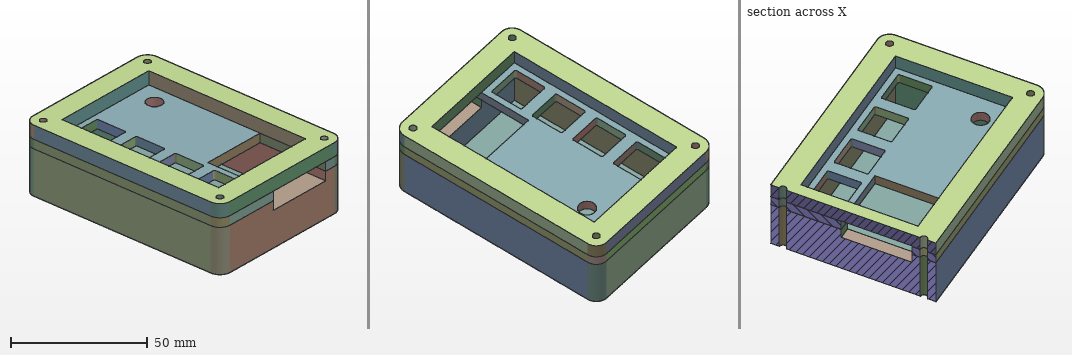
import cadquery as cq

LENGTH = 96.2
WIDTH = 68.0
HEIGHT = 30.0
CORNER_RADIUS = 5.0

FRAME_THICKNESS = 6.0
PLATE_THICKNESS = 4.0
PLATE_BOTTOM = HEIGHT - FRAME_THICKNESS - PLATE_THICKNESS
PLATE_TOP = PLATE_BOTTOM + PLATE_THICKNESS

SCREW_DIAMETER = 2.9
SCREW_SPACING_X = LENGTH - 2 * CORNER_RADIUS
SCREW_SPACING_Y = WIDTH - 2 * CORNER_RADIUS

WINDOW_LENGTH = 76.4
WINDOW_WIDTH = 48.2
FLOOR_THICKNESS = 3.8

KEY_COUNT = 4
KEY_PITCH = 19.0
KEY_SIZE = 14.0
KEY_CORNER_RADIUS = 0.6
KEY_ROW_Y = -14.5

ROUND_HOLE_DIAMETER = 6.9
ROUND_HOLE_X = -28.3
ROUND_HOLE_Y = 16.0

OPENING_LEFT = 16.1
OPENING_RIGHT = LENGTH / 2
OPENING_FRONT = -4.9
OPENING_BACK = WINDOW_WIDTH / 2
SILL_DROP = 4.0
OPENING_SILL = PLATE_BOTTOM - SILL_DROP


def layer(bottom, top):
    """Rounded rectangular slab with a through screw hole in each corner."""
    return (
        cq.Workplane("XY", origin=(0, 0, bottom))
        .rect(LENGTH, WIDTH)
        .extrude(top - bottom)
        .edges("|Z")
        .fillet(CORNER_RADIUS)
        .faces(">Z")
        .workplane()
        .rect(SCREW_SPACING_X, SCREW_SPACING_Y, forConstruction=True)
        .vertices()
        .hole(SCREW_DIAMETER)
    )


def window_block(bottom, top):
    """Cutter with the outline of the frame window."""
    return cq.Workplane("XY", origin=(0, 0, bottom)).rect(WINDOW_LENGTH, WINDOW_WIDTH).extrude(top - bottom)


def opening_block(bottom, top):
    """Cutter for the opening that runs out through the +X wall."""
    return (
        cq.Workplane("XY", origin=(0, 0, bottom))
        .moveTo(OPENING_LEFT, OPENING_FRONT)
        .lineTo(OPENING_RIGHT, OPENING_FRONT)
        .lineTo(OPENING_RIGHT, OPENING_BACK)
        .lineTo(OPENING_LEFT, OPENING_BACK)
        .close()
        .extrude(top - bottom)
    )


def key_block(x):
    """Cutter for one key hole, with rounded corners."""
    return (
        cq.Workplane("XY", origin=(x, KEY_ROW_Y, PLATE_BOTTOM))
        .rect(KEY_SIZE, KEY_SIZE)
        .extrude(PLATE_THICKNESS)
        .edges("|Z")
        .fillet(KEY_CORNER_RADIUS)
    )


def make_base():
    """Open-topped box whose +X wall is lowered at the side opening."""
    cavity = window_block(FLOOR_THICKNESS, PLATE_BOTTOM)
    recess = opening_block(OPENING_SILL, PLATE_BOTTOM)
    return layer(0, PLATE_BOTTOM).cut(cavity).cut(recess)


def make_plate():
    """Flat plate with the key holes, the round hole and the side notch."""
    plate = layer(PLATE_BOTTOM, PLATE_TOP).cut(opening_block(PLATE_BOTTOM, PLATE_TOP))
    for index in range(KEY_COUNT):
        plate = plate.cut(key_block((index - (KEY_COUNT - 1) / 2) * KEY_PITCH))
    round_hole = (
        cq.Workplane("XY", origin=(ROUND_HOLE_X, ROUND_HOLE_Y, PLATE_BOTTOM))
        .circle(ROUND_HOLE_DIAMETER / 2)
        .extrude(PLATE_THICKNESS)
    )
    return plate.cut(round_hole)


def make_frame():
    """Top frame around the rectangular window."""
    return layer(PLATE_TOP, HEIGHT).cut(window_block(PLATE_TOP, HEIGHT))


base = make_base()
plate = make_plate()
frame = make_frame()

result = cq.Compound.makeCompound([base.val(), plate.val(), frame.val()])